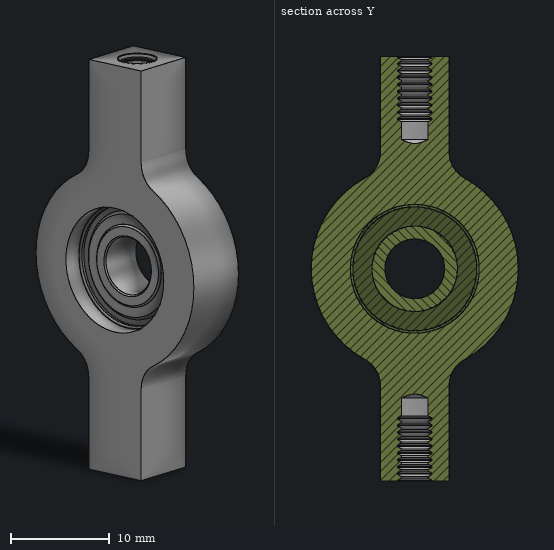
import cadquery as cq
import math

THICKNESS = 7.0
DISC_RADIUS = 10.5
ARM_WIDTH = 7.0
HEIGHT = 43.0
ARM_FILLET = 3.0
BACK_Y = THICKNESS / 2

BEARING_WIDTH = 5.0
BEARING_FRONT_Y = BACK_Y - BEARING_WIDTH
OUTER_RING_RADIUS = 6.5
OUTER_RING_CHAMFER = 0.2
SHIELD_RADIUS = 6.25
SHIELD_RECESS = 0.5
SHIELD_STEP_RADIUS = 5.65
SHIELD_STEP_HEIGHT = 0.3
INNER_RING_RADIUS = 4.3
INNER_RING_CHAMFER = 0.2
BORE_RADIUS = 3.0
BORE_CHAMFER = 0.15

THREAD_RADIUS = 2.0
TAP_DRILL_RADIUS = 1.65
THREAD_PITCH = 0.7
ROOT_FLAT = THREAD_PITCH / 8
CREST_FLAT = THREAD_PITCH / 4
FLANK_HEIGHT = (THREAD_PITCH - ROOT_FLAT - CREST_FLAT) / 2
GROOVE_COUNT = 10
DRILL_DEPTH = 8.4
DRILL_TIP_ANGLE = 118.0


def ring(outer_radius, inner_radius, recess=0.0, outer_chamfer=0.0, inner_chamfer=0.0):
    """Bearing ring around Y, set in by recess at both ends, with chamfered outer and bore edges."""
    front_y = BEARING_FRONT_Y + recess
    back_y = BACK_Y - recess
    blank = cq.Workplane("XZ", origin=(0, back_y, 0)).circle(outer_radius).extrude(back_y - front_y)
    if outer_chamfer:
        blank = blank.edges("%CIRCLE").chamfer(outer_chamfer)
    body = blank.faces("<Y").workplane(origin=(0, 0, 0)).hole(2 * inner_radius)
    if inner_chamfer:
        body = body.edges(cq.selectors.RadiusNthSelector(0)).chamfer(inner_chamfer)
    return body


def housing_blank():
    """Disc and arms in one piece, with the four inner corners rounded."""
    disc = cq.Workplane("XZ").circle(DISC_RADIUS).extrude(THICKNESS / 2, both=True)
    arms = cq.Workplane("XY").box(ARM_WIDTH, THICKNESS, HEIGHT)
    corner_box = cq.selectors.BoxSelector(
        (-DISC_RADIUS, -THICKNESS, -DISC_RADIUS),
        (DISC_RADIUS, THICKNESS, DISC_RADIUS),
    )
    return disc.union(arms).edges("|Y").edges(corner_box).fillet(ARM_FILLET)


def bearing_shield():
    """Shield between the rings, with a bevelled raised step on both faces."""
    plate = ring(SHIELD_RADIUS, INNER_RING_RADIUS, recess=SHIELD_RECESS)
    steps = ring(
        SHIELD_STEP_RADIUS,
        INNER_RING_RADIUS,
        recess=SHIELD_RECESS - SHIELD_STEP_HEIGHT,
        outer_chamfer=SHIELD_STEP_HEIGHT,
    )
    return plate.union(steps)


def tapped_hole():
    """Drilled hole with ring-shaped thread grooves, going down from the top of the upper arm."""
    top_z = HEIGHT / 2
    drill_end_z = top_z - DRILL_DEPTH
    tip_z = drill_end_z - TAP_DRILL_RADIUS / math.tan(math.radians(DRILL_TIP_ANGLE / 2))
    profile = cq.Workplane("XZ").moveTo(0, top_z)
    for groove in range(GROOVE_COUNT):
        root_z = top_z - groove * THREAD_PITCH
        crest_z = root_z - ROOT_FLAT - FLANK_HEIGHT
        profile = (
            profile.lineTo(THREAD_RADIUS, root_z)
            .lineTo(THREAD_RADIUS, root_z - ROOT_FLAT)
            .lineTo(TAP_DRILL_RADIUS, crest_z)
            .lineTo(TAP_DRILL_RADIUS, crest_z - CREST_FLAT)
        )
    return (
        profile.lineTo(TAP_DRILL_RADIUS, drill_end_z)
        .lineTo(0, tip_z)
        .close()
        .revolve(360, (0, 0, 0), (0, 1, 0))
    )


bearing_seat = cq.Workplane("XZ").circle(OUTER_RING_RADIUS).extrude(THICKNESS, both=True)
housing = housing_blank().cut(bearing_seat)
for turn in (0, 180):
    housing = housing.cut(tapped_hole().rotate((0, 0, 0), (0, 1, 0), turn))

outer_ring = ring(OUTER_RING_RADIUS, SHIELD_RADIUS, inner_chamfer=OUTER_RING_CHAMFER)
shield = bearing_shield()
inner_ring = ring(
    INNER_RING_RADIUS,
    BORE_RADIUS,
    outer_chamfer=INNER_RING_CHAMFER,
    inner_chamfer=BORE_CHAMFER,
)

result = cq.Compound.makeCompound(
    [housing.val(), outer_ring.val(), shield.val(), inner_ring.val()]
)